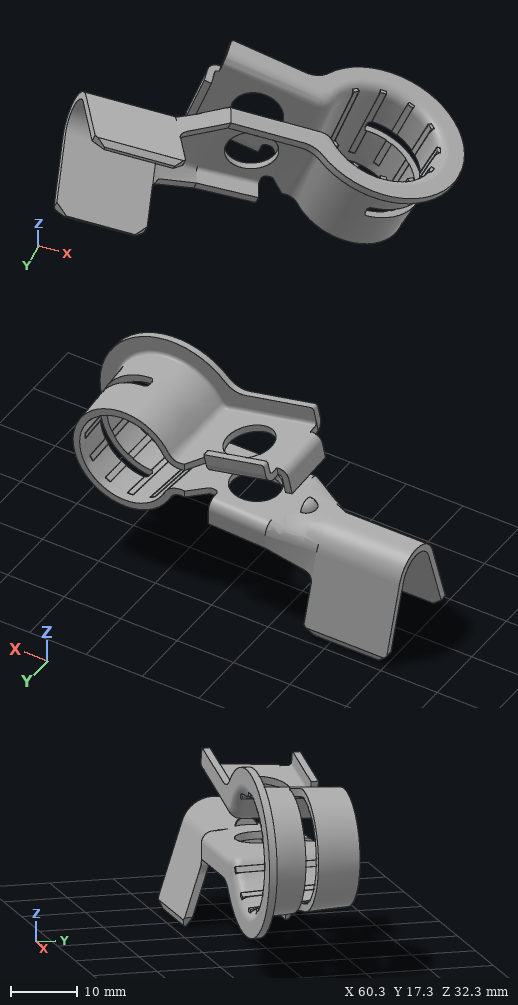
import cadquery as cq
import math


SHEET = 1.2
BEND_OUT = 1.8
BEND_IN = BEND_OUT - SHEET
Y_FRONT = -8.0
Y_FAR = 7.35
Y_MID = (Y_FRONT + Y_FAR) / 2

BORE_R = 7.9
FLANGE_R = 13.0
TAPER = math.tan(math.radians(3.4))
CORNER_R = 3.4
FLANGE_CORNER_R = 4.0
FLANGE_REACH = FLANGE_R - BORE_R
SLOT_W = 2.0
SLOT_END_R = 0.6

UPPER_TILT = 12.6
UPPER_END = 26.6
END_SKEW = math.tan(math.radians(2))
TIP_CORNER_R = 0.5
LOWER_END_X = -25.0
LOWER_END_Z = -2.4
LOWER_DROP = 1.6
HOLE_D = 8.2
UPPER_HOLE_AT = 18.3
LOWER_HOLE_X = -18.6

LIP_END_X = -14.9
UPPER_LIP_H = 3.6
LOWER_LIP_H = 4.3
LIP_START_Y = Y_FAR - BEND_OUT
NOTCH_Y = 4.3
NOTCH_FLOOR_X = -13.4
NOTCH_OPEN_X = -10.7
NOTCH_CORNER_R = 0.7

TONGUE_W = 9.4
TONGUE_DROP = 3.2

SADDLE_X0 = -47.26
SADDLE_X1 = -32.55
SADDLE_TOP = -2.5
SADDLE_BOTTOM = -19.26
SADDLE_R = 5.05
LEG_SPLAY = math.radians(17.85)
LEG_CHAMFER = 1.75
LEG_BEVEL_H = 1.36
LEG_TIP_W = 0.4

NECK_CROWN_HALF = math.radians(58)
NECK_BOTTOM = -9.6
NECK_CORNER_R = 2.0

RIB_W = 1.0
RIB_H = 0.1
RIB_FAR = 5.6
RIB_FRONT = -7.5
RIB_DEPTH = 0.7
RIB_FIRST = -150
RIB_LAST = 120
RIB_STEP = 30
BUMP_R = 1.8
BUMP_X = -27.7
BUMP_Y = -0.2
BUMP_Z = -3.0

COS_T = math.cos(math.radians(UPPER_TILT))
SIN_T = math.sin(math.radians(UPPER_TILT))
CORNER_DIST = BORE_R + CORNER_R
FAR_CUT = 50.0
MATCH = 0.01


def wall_offset(y):
    """Distance of the wall outward from its place at the rear edge."""
    return (Y_FAR - y) * TAPER


def arm_end(y):
    """Length of the upper arm at depth y."""
    return UPPER_END - (y - Y_FRONT) * END_SKEW


def upper(u, v):
    """Point in the upper arm frame: u along the arm, v up from its surface."""
    return (-u * COS_T + v * SIN_T, u * SIN_T + v * COS_T)


def polar(center, radius, angle):
    return (center[0] + radius * math.cos(angle), center[1] + radius * math.sin(angle))


UPPER_CORNER_U = math.sqrt(CORNER_DIST ** 2 - CORNER_R ** 2)
UPPER_CORNER = upper(UPPER_CORNER_U, CORNER_R)
LOWER_CORNER_Z = -LOWER_DROP - CORNER_R
LOWER_CORNER = (-math.sqrt(CORNER_DIST ** 2 - LOWER_CORNER_Z ** 2), LOWER_CORNER_Z)


def corner_points(center, radius, tangent_angle):
    """Arm-side tangent point, middle and bore-side tangent point of a corner arc."""
    to_bore = math.atan2(-center[1], -center[0])
    sweep = math.remainder(to_bore - tangent_angle, math.tau)
    return [polar(center, radius, tangent_angle + sweep * f) for f in (0, 0.5, 1)]


def wall_line(offset):
    """Points of the wall from the upper arm end round the bore to the lower arm end."""
    radius = CORNER_R - offset
    down = math.radians(-90 - UPPER_TILT)
    first = corner_points(UPPER_CORNER, radius, down)
    last = corner_points(LOWER_CORNER, radius, math.radians(90))
    return first, (BORE_R + offset, 0), last[::-1]


def xz_plane(y):
    """Sketch plane at depth y whose axes are X and Z; extrusion runs towards -Y."""
    return cq.Workplane("XZ", origin=(0, y, 0))


def draw_wall_line(sketch, end_u, offset, lower_z):
    first, bore, last = wall_line(offset)
    return (
        sketch.moveTo(*upper(end_u, offset))
        .lineTo(*first[0])
        .threePointArc(first[1], first[2])
        .threePointArc(bore, last[0])
        .threePointArc(last[1], last[2])
        .lineTo(LOWER_END_X, lower_z)
    )


def draw_wall_line_back(sketch, end_u, offset, lower_z):
    first, bore, last = wall_line(offset)
    return (
        sketch.lineTo(LOWER_END_X, lower_z)
        .lineTo(*last[2])
        .threePointArc(last[1], last[0])
        .threePointArc(bore, first[2])
        .threePointArc(first[1], first[0])
        .lineTo(*upper(end_u, offset))
    )


def wall_section(y):
    """Closed outline of the tapered wall in the plane at depth y."""
    inner = wall_offset(y)
    sketch = draw_wall_line(xz_plane(y), arm_end(y), inner, LOWER_END_Z)
    sketch = draw_wall_line_back(sketch, arm_end(y), inner + SHEET, LOWER_END_Z - SHEET)
    return sketch.close().wire().val()


def make_wall():
    return cq.Workplane(cq.Solid.makeLoft([wall_section(Y_FRONT), wall_section(Y_FAR)], True))


def make_flange():
    """Flat flange standing outward from the wall along its front edge."""
    reach = FLANGE_R + FLANGE_CORNER_R
    corner_v = FLANGE_REACH + FLANGE_CORNER_R
    upper_corner = upper(math.sqrt(reach ** 2 - corner_v ** 2), corner_v)
    lower_z = LOWER_END_Z - LOWER_LIP_H
    lower_corner_z = lower_z - FLANGE_CORNER_R
    lower_corner = (-math.sqrt(reach ** 2 - lower_corner_z ** 2), lower_corner_z)
    first = corner_points(upper_corner, FLANGE_CORNER_R, math.radians(-90 - UPPER_TILT))
    last = corner_points(lower_corner, FLANGE_CORNER_R, math.radians(90))
    sketch = xz_plane(Y_FRONT + SHEET)
    sketch = draw_wall_line(sketch, UPPER_END, wall_offset(Y_FRONT), LOWER_END_Z)
    return (
        sketch.lineTo(LOWER_END_X, lower_z)
        .lineTo(*last[0])
        .threePointArc(last[1], last[2])
        .threePointArc((FLANGE_R, 0), first[2])
        .threePointArc(first[1], first[0])
        .lineTo(*upper(UPPER_END, FLANGE_REACH))
        .close()
        .extrude(SHEET)
        .edges("|Y").edges(">Z")
        .fillet(TIP_CORNER_R)
    )


def edges_along_wall(body, y, offset, lower_z):
    """Edges of the body that follow the wall line of that offset at depth y."""
    line = draw_wall_line(xz_plane(y), arm_end(y), offset, lower_z).wire().val()
    middles = [(edge, edge.positionAt(0.5)) for edge in body.edges().vals()]
    return [
        edge for edge, middle in middles
        if line.distance(cq.Vertex.makeVertex(*middle.toTuple())) < MATCH
        and edge.BoundingBox().ylen < MATCH
    ]


def make_flanged_wall():
    body = make_wall().union(make_flange())
    y_back = Y_FRONT + SHEET
    outer = wall_offset(y_back) + SHEET
    back_edges = edges_along_wall(body, y_back, outer, LOWER_END_Z - SHEET)
    body = body.newObject(back_edges).fillet(BEND_IN)
    front_edges = edges_along_wall(body, Y_FRONT, wall_offset(Y_FRONT), LOWER_END_Z)
    return body.newObject(front_edges).fillet(BEND_OUT)


def cut_arm_edges(body):
    """Clear the rear edge of both arms for the lips, and cut the notch beside them."""
    left_x = SADDLE_X1
    past_edge = Y_FAR + SHEET
    cutter = (
        cq.Workplane("XY", origin=(0, 0, -FAR_CUT / 2))
        .moveTo(left_x, LIP_START_Y)
        .lineTo(LIP_END_X, LIP_START_Y)
        .lineTo(LIP_END_X, NOTCH_Y)
        .lineTo(NOTCH_FLOOR_X, NOTCH_Y)
        .lineTo(NOTCH_OPEN_X, Y_FAR)
        .lineTo(NOTCH_OPEN_X, past_edge)
        .lineTo(left_x, past_edge)
        .close()
        .extrude(FAR_CUT)
        .edges("|Z and <Y")
        .fillet(NOTCH_CORNER_R)
    )
    return body.cut(cutter)


def lip_outline(plane, height):
    """L-shaped lip section; plane x runs to the rear edge and plane y up the lip."""
    return (
        cq.Workplane(plane)
        .moveTo(LIP_START_Y, 0)
        .radiusArc((Y_FAR, BEND_OUT), -BEND_OUT)
        .lineTo(Y_FAR, height)
        .lineTo(Y_FAR - SHEET, height)
        .lineTo(Y_FAR - SHEET, BEND_OUT)
        .radiusArc((LIP_START_Y, SHEET), BEND_IN)
        .close()
    )


def make_upper_lip():
    end_x, end_z = upper(arm_end(LIP_START_Y), wall_offset(LIP_START_Y))
    plane = cq.Plane(origin=(end_x, 0, end_z), xDir=(0, 1, 0), normal=(COS_T, 0, -SIN_T))
    lip = lip_outline(plane, UPPER_LIP_H).extrude((LIP_END_X - end_x) / COS_T)
    return lip.edges("|Y").edges("<X").fillet(TIP_CORNER_R)


def make_lower_lip():
    corner_z = -LOWER_DROP - wall_offset(LIP_START_Y)
    slope = (corner_z - LOWER_END_Z) / (LOWER_CORNER[0] - LOWER_END_X)
    right_z = LOWER_END_Z + slope * (LIP_END_X - LOWER_END_X)
    outlines = []
    for x, z in ((LOWER_END_X, LOWER_END_Z), (LIP_END_X, right_z)):
        plane = cq.Plane(origin=(x, 0, z), xDir=(0, 1, 0), normal=(-1, 0, 0))
        outlines.append(lip_outline(plane, LOWER_LIP_H).wire().val())
    return cq.Workplane(cq.Solid.makeLoft(outlines, True))


def tongue_section(y):
    base = wall_offset(y)
    end_u = arm_end(y)
    top = base + SHEET
    bend_v = top - BEND_OUT
    outer_u = end_u + BEND_OUT
    inner_u = outer_u - SHEET
    tip_v = base - TONGUE_DROP
    diagonal = math.sqrt(0.5)
    outer_mid = upper(end_u + BEND_OUT * diagonal, bend_v + BEND_OUT * diagonal)
    inner_mid = upper(end_u + BEND_IN * diagonal, bend_v + BEND_IN * diagonal)
    return (
        xz_plane(y)
        .moveTo(*upper(end_u, top))
        .threePointArc(outer_mid, upper(outer_u, bend_v))
        .lineTo(*upper(outer_u, tip_v))
        .lineTo(*upper(inner_u, tip_v))
        .lineTo(*upper(inner_u, bend_v))
        .threePointArc(inner_mid, upper(end_u, base))
        .close()
        .wire()
        .val()
    )


def make_tongue():
    sections = [tongue_section(Y_MID + side * TONGUE_W / 2) for side in (-1, 1)]
    return cq.Workplane(cq.Solid.makeLoft(sections, True))


def saddle_points(depth, bottom):
    """Right half of the saddle section, this deep inside the sheet, from the crown down."""
    center = (0, SADDLE_TOP - SADDLE_R)
    radius = SADDLE_R - depth
    crown_angle = math.pi / 2 - NECK_CROWN_HALF
    crown_end = polar(center, radius, crown_angle)
    flank_mid = polar(center, radius, (crown_angle + LEG_SPLAY) / 2)
    leg_top = polar(center, radius, LEG_SPLAY)
    leg_end = (leg_top[0] + (leg_top[1] - bottom) * math.tan(LEG_SPLAY), bottom)
    return crown_end, flank_mid, leg_top, leg_end


def mirrored(point):
    return (-point[0], point[1])


def saddle_outline(x, bottom):
    """Closed section of the bent saddle sheet, its legs cut level at the given height."""
    crown, flank, leg, end = saddle_points(0, bottom)
    in_crown, in_flank, in_leg, in_end = saddle_points(SHEET, bottom)
    return (
        cq.Workplane("YZ", origin=(x, 0, 0))
        .moveTo(*mirrored(end))
        .lineTo(*mirrored(leg))
        .threePointArc(mirrored(flank), mirrored(crown))
        .threePointArc((0, SADDLE_TOP), crown)
        .threePointArc(flank, leg)
        .lineTo(*end)
        .lineTo(*in_end)
        .lineTo(*in_leg)
        .threePointArc(in_flank, in_crown)
        .threePointArc((0, SADDLE_TOP - SHEET), mirrored(in_crown))
        .threePointArc(mirrored(in_flank), mirrored(in_leg))
        .lineTo(*mirrored(in_end))
        .close()
    )


def arm_outline():
    """Closed channel section of the lower arm at its left end."""
    bottom = LOWER_END_Z - LOWER_LIP_H
    bend_z = LOWER_END_Z - BEND_OUT
    front_bend = Y_FRONT + BEND_OUT
    inner_top = LOWER_END_Z - SHEET
    return (
        cq.Workplane("YZ", origin=(LOWER_END_X, 0, 0))
        .moveTo(Y_FRONT, bottom)
        .lineTo(Y_FRONT, bend_z)
        .radiusArc((front_bend, LOWER_END_Z), BEND_OUT)
        .lineTo(LIP_START_Y, LOWER_END_Z)
        .radiusArc((Y_FAR, bend_z), BEND_OUT)
        .lineTo(Y_FAR, bottom)
        .lineTo(Y_FAR - SHEET, bottom)
        .lineTo(Y_FAR - SHEET, bend_z)
        .radiusArc((LIP_START_Y, inner_top), -BEND_IN)
        .lineTo(front_bend, inner_top)
        .radiusArc((Y_FRONT + SHEET, bend_z), -BEND_IN)
        .lineTo(Y_FRONT + SHEET, bottom)
        .close()
    )


def make_saddle():
    """Bent cable saddle with chamfered leg corners and bevelled leg ends."""
    length = SADDLE_X1 - SADDLE_X0
    saddle = saddle_outline(SADDLE_X0, SADDLE_BOTTOM).extrude(length)
    middle = (SADDLE_X0 + length / 2, FAR_CUT / 2, SADDLE_BOTTOM + FAR_CUT / 2)
    side = (
        cq.Workplane("XZ", origin=middle)
        .rect(length, FAR_CUT)
        .extrude(FAR_CUT)
        .edges("|Y and <Z")
        .chamfer(LEG_CHAMFER)
    )
    saddle = saddle.intersect(side)
    *_, bevel_top = saddle_points(0, SADDLE_BOTTOM + LEG_BEVEL_H)
    *_, inner_tip = saddle_points(SHEET, SADDLE_BOTTOM)
    tip_rise = LEG_TIP_W * math.tan(LEG_SPLAY)
    outer_tip = (inner_tip[0] + LEG_TIP_W, SADDLE_BOTTOM + tip_rise)
    past_leg = bevel_top[0] + SHEET
    bevel = (
        cq.Workplane("YZ", origin=(SADDLE_X0, 0, 0))
        .moveTo(*bevel_top)
        .lineTo(*outer_tip)
        .lineTo(*inner_tip)
        .lineTo(past_leg, SADDLE_BOTTOM)
        .lineTo(past_leg, bevel_top[1])
        .close()
        .extrude(length)
    )
    return saddle.cut(bevel).cut(bevel.mirror("XZ"))


def make_neck():
    """Sheet blending from the saddle arch to the channel of the lower arm."""
    sections = [saddle_outline(SADDLE_X1, NECK_BOTTOM), arm_outline()]
    wires = [section.wire().val() for section in sections]
    return cq.Workplane(cq.Solid.makeLoft(wires, True))


def make_bump():
    """Quarter ball, cut square on the side facing the arms."""
    ball = cq.Workplane("XY", origin=(BUMP_X, BUMP_Y, BUMP_Z)).sphere(BUMP_R)
    keep = cq.Workplane("XY", origin=(BUMP_X - BUMP_R, BUMP_Y, BUMP_Z)).box(
        2 * BUMP_R, 2 * BUMP_R, 2 * BUMP_R, centered=(True, True, False)
    )
    return ball.intersect(keep)


def make_rib(angle):
    """Grip rib along the tapered bore wall, its root sunk into the sheet."""
    far_r = BORE_R + wall_offset(RIB_FAR) - RIB_H
    front_r = BORE_R + wall_offset(RIB_FRONT) - RIB_H
    return (
        cq.Workplane("XY", origin=(0, 0, -RIB_W / 2))
        .moveTo(far_r, RIB_FAR)
        .lineTo(far_r + RIB_DEPTH, RIB_FAR)
        .lineTo(front_r + RIB_DEPTH, RIB_FRONT)
        .lineTo(front_r, RIB_FRONT)
        .close()
        .extrude(RIB_W)
        .rotate((0, 0, 0), (0, 1, 0), -angle)
    )


def cut_slot(body):
    """Slot through the half of the collar away from the arms."""
    cutter = (
        cq.Workplane("XY", origin=(0, Y_MID, 0))
        .box(FLANGE_R, SLOT_W, 2 * FLANGE_R, centered=(False, True, True))
        .edges("|Z and <X")
        .fillet(SLOT_END_R)
    )
    return body.cut(cutter)


def cut_holes(body):
    x, z = upper(UPPER_HOLE_AT, -SHEET)
    plane = cq.Plane(origin=(x, Y_MID, z), xDir=(0, 1, 0), normal=(SIN_T, 0, COS_T))
    depth = 4 * SHEET
    upper_cut = cq.Workplane(plane).circle(HOLE_D / 2).extrude(depth)
    lower_cut = (
        cq.Workplane("XY", origin=(LOWER_HOLE_X, Y_MID, LOWER_END_Z + SHEET))
        .circle(HOLE_D / 2)
        .extrude(-depth)
    )
    return body.cut(upper_cut).cut(lower_cut)


def round_neck_corners(body):
    """Fillet the corners where the lower edges of the neck meet the saddle legs."""
    low = (SADDLE_X1 - MATCH, Y_FRONT, NECK_BOTTOM - MATCH)
    high = (SADDLE_X1 + MATCH, Y_FAR, NECK_BOTTOM + MATCH)
    return body.edges(cq.selectors.BoxSelector(low, high)).fillet(NECK_CORNER_R)


def make_part():
    body = cut_arm_edges(make_flanged_wall())
    body = cut_holes(body)
    for angle in range(RIB_FIRST, RIB_LAST + 1, RIB_STEP):
        body = body.union(make_rib(angle))
    body = cut_slot(body)
    body = body.union(make_upper_lip()).union(make_lower_lip()).union(make_tongue())
    body = body.union(round_neck_corners(make_saddle().union(make_neck())))
    return body.union(make_bump())


result = make_part()